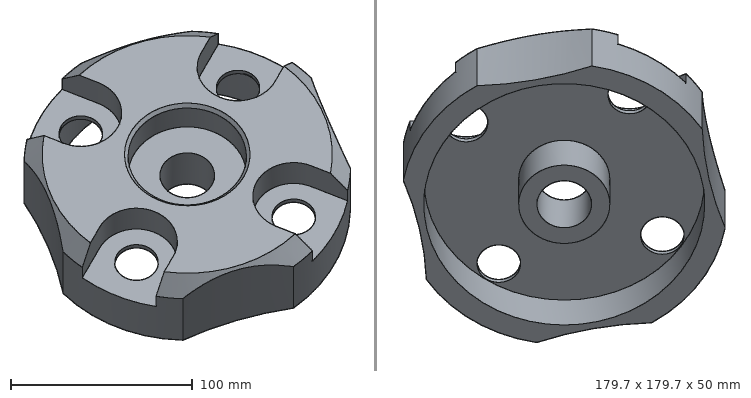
import cadquery as cq
import math

outer_diameter = 179.7
height = 50.0
rim_chamfer = 10.0

bore_diameter = 30.0
counterbore_diameter = 65.0
recess_depth = 20.0
counterbore_chamfer = 2.0

bolt_count = 4
bolt_circle_radius = 64.9
bolt_hole_diameter = 23.9
pocket_width = 45.0

scallop_radius = 200.0
scallop_floor_distance = 81.2

pocket_floor_thickness = 3.2
hub_wall = 10.0
cavity_outer_radius = 77.3

outer_radius = outer_diameter / 2
recess_floor = height - recess_depth
bolt_angle_step = 360 / bolt_count


def make_body():
    body = cq.Workplane("XY").circle(outer_radius).extrude(height)
    return body.faces(">Z").edges().chamfer(rim_chamfer)


def make_center_bore():
    """Through bore with a counterbore chamfered at its mouth."""
    bore = cq.Workplane("XY").circle(bore_diameter / 2).extrude(height)
    counterbore = (
        cq.Workplane("XY", origin=(0, 0, recess_floor))
        .circle(counterbore_diameter / 2)
        .extrude(recess_depth)
    )
    mouth = (
        cq.Workplane("XY", origin=(0, 0, height))
        .circle(counterbore_diameter / 2 + counterbore_chamfer)
        .extrude(-counterbore_chamfer, taper=45)
    )
    return bore.union(counterbore).union(mouth)


def make_underside_cavity():
    hub_radius = bore_diameter / 2 + hub_wall
    return (
        cq.Workplane("XY")
        .circle(cavity_outer_radius)
        .circle(hub_radius)
        .extrude(recess_floor - pocket_floor_thickness)
    )


def make_bolt_pocket():
    """Round-ended pocket along +X with a through hole on its round center."""
    half_width = pocket_width / 2
    pocket = (
        cq.Workplane("XY", origin=(0, 0, recess_floor))
        .moveTo(outer_diameter, half_width)
        .lineTo(bolt_circle_radius, half_width)
        .threePointArc((bolt_circle_radius - half_width, 0), (bolt_circle_radius, -half_width))
        .lineTo(outer_diameter, -half_width)
        .close()
        .extrude(recess_depth)
    )
    hole = (
        cq.Workplane("XY")
        .center(bolt_circle_radius, 0)
        .circle(bolt_hole_diameter / 2)
        .extrude(height)
    )
    return pocket.union(hole)


def make_scallop():
    """Cylinder that hollows the rim between two bolt pockets."""
    half_step = math.radians(bolt_angle_step / 2)
    center_distance = scallop_floor_distance + scallop_radius
    return (
        cq.Workplane("XY")
        .center(center_distance * math.cos(half_step), center_distance * math.sin(half_step))
        .circle(scallop_radius)
        .extrude(height)
    )


result = make_body().cut(make_center_bore()).cut(make_underside_cavity())
for cutter in (make_bolt_pocket(), make_scallop()):
    for index in range(bolt_count):
        result = result.cut(cutter.rotate((0, 0, 0), (0, 0, 1), index * bolt_angle_step))